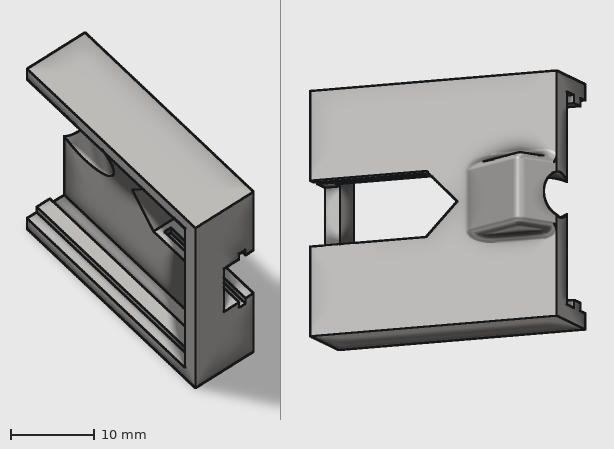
import cadquery as cq
import math

length = 32.0
depth = 9.0
height = 30.0
wall = 2.0
floor_thickness = 3.23

rail_height = 1.0
rail_width = 2.05
rail_setback = 1.5

slot_width = 8.05
slot_tip_x = 12.93
window_reach = 1.38
groove_size = 1.0
groove_setback = 1.0
groove_inset = 0.85

boss_length = 11.52
boss_width = 9.1
boss_round = 1.0
slope_angle = 30.0
bore_diameter = 5.55
bore_floor_x = 3.9

floor_y = depth - floor_thickness
half_slot = slot_width / 2
slot_shoulder_x = slot_tip_x + half_slot
slope = math.radians(slope_angle)


def block(x_range, y_range, z_range):
    """Axis-aligned box between pairs of coordinates."""
    size = [high - low for low, high in (x_range, y_range, z_range)]
    corner = (x_range[0], y_range[0], z_range[0])
    return cq.Workplane("XY").box(*size, centered=False).translate(corner)


def make_tray():
    """Shallow tray open at the front and at the -X end."""
    outer = block((0, length), (0, depth), (-height / 2, height / 2))
    inner_half = height / 2 - wall
    cavity = block((0, length - wall), (0, floor_y), (-inner_half, inner_half))
    return outer.cut(cavity)


def make_rail():
    """Retaining rail on the lower side wall."""
    base_z = wall - height / 2
    return block((0, length - wall), (rail_setback, rail_setback + rail_width), (base_z, base_z + rail_height))


def make_boss():
    """Right-angled wedge on the back, rising from the -X edge."""
    apex_x = boss_length * math.sin(slope) ** 2
    apex_y = depth + boss_length * math.sin(slope) * math.cos(slope)
    return (
        cq.Workplane("XY", origin=(0, 0, -boss_width / 2))
        .polyline([(0, depth), (boss_length, depth), (apex_x, apex_y)])
        .close()
        .extrude(boss_width)
    )


def round_boss(body):
    """Round the exposed edges of the boss, then blend its sides into the back."""
    half = boss_width / 2
    margin = 0.03
    crest_box = cq.selectors.BoxSelector(
        (-margin, depth + boss_round, -half - margin), (boss_length, 2 * depth, half + margin))
    body = body.edges(crest_box).fillet(boss_round)
    root_box = cq.selectors.BoxSelector(
        (margin, depth - margin, -half - margin), (boss_length + margin, depth + margin, half + margin))
    return body.edges(root_box).edges("|X").fillet(boss_round)


def make_slot():
    """Pointed slot through the floor and end wall, with a groove in each side."""
    slot = (
        cq.Workplane("XZ", origin=(0, depth, 0))
        .moveTo(slot_tip_x, 0)
        .lineTo(slot_shoulder_x, half_slot)
        .lineTo(length, half_slot)
        .lineTo(length, -half_slot)
        .lineTo(slot_shoulder_x, -half_slot)
        .close()
        .extrude(floor_thickness + window_reach)
    )
    groove_y = floor_y + groove_setback
    groove_half = half_slot + groove_size
    grooves = block(
        (slot_shoulder_x + groove_inset, length),
        (groove_y, groove_y + groove_size),
        (-groove_half, groove_half),
    )
    return slot.union(grooves)


def make_bore():
    """Inclined round bore running square to the end face of the boss."""
    axis = cq.Vector(-math.cos(slope), math.sin(slope), 0)
    start = cq.Vector(bore_floor_x, floor_y, 0) - axis * length / 2
    return cq.Workplane(cq.Solid.makeCylinder(bore_diameter / 2, length, start, axis))


rail = make_rail()
body = round_boss(make_tray().union(make_boss()))
body = body.union(rail).union(rail.mirror("XY"))
result = body.cut(make_slot()).cut(make_bore())